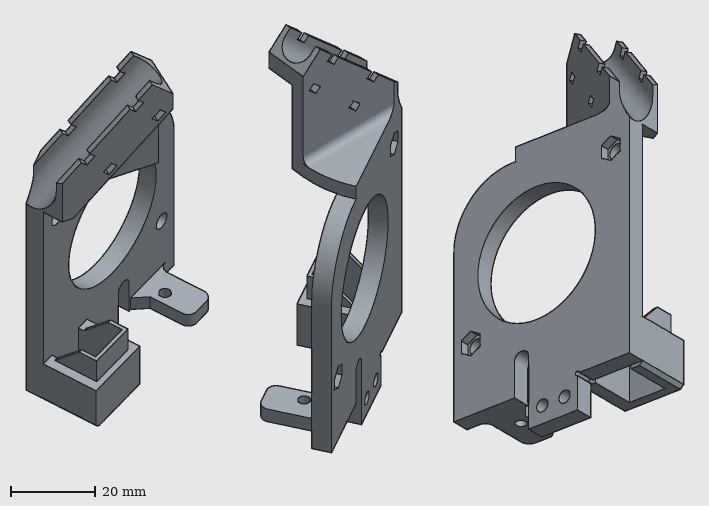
import cadquery as cq
import math

PLATE_THICKNESS = 5.0
PLATE_WIDTH = 54.0
PLATE_BOTTOM = 10.0
PLATE_TOP = 73.9
BORE_DIAMETER = 36.0
BORE_Y = 28.5
BORE_Z = 46.9
CORNER_RADIUS = BORE_DIAMETER / 2

NUT_CENTERS = [(5.8, 67.3), (48.8, 29.4)]
NUT_HOLE_DIAMETER = 4.4
NUT_FLATS = 5.8
NUT_POCKET_DEPTH = 2.4
NUT_TURN = 30.0

TONGUE_START = 15.9
TONGUE_END = 31.0
TONGUE_HOLE_DIAMETER = 3.4
TONGUE_HOLE_Z = 5.0
TONGUE_HOLES_Y = [19.9, 26.8]
SLOT_WIDTH = 4.3
SLOT_TOP = 21.9
RELIEF_DIAMETER = 1.2

BOX_BACK = 20.3
BOX_WIDTH = 18.0
BOX_BOTTOM = 9.0
BOX_TOP = 21.9
BOX_CHAMFER = 1.0
LIP_THICKNESS = 1.0
LIP_TOP = 29.0
BACK_LEDGE = 1.7
SIDE_LEDGE = 2.5
LIP_SLOPE_START = 6.5

LUG_START = 38.9
LUG_END = 47.9
LUG_THICKNESS = 4.0
LUG_TIP_RADIUS = 2.4
LUG_FILLET = 2.3
LUG_GUSSET_LENGTH = 3.5
LUG_GUSSET_WIDTH = 3.0
LUG_HOLE_DIAMETER = 3.0
LUG_HOLE_X = 10.7
LUG_HOLE_Y = 42.0

ARM_TURN = 30.0
ARM_PIVOT_Y = 6.1
ARM_LENGTH = 29.0
ARM_WIDTH = 12.2
ARM_DEPTH = 11.3
ARM_TOP = 110.6
ARM_END_DROP = 5.4
FOOT_WIDTH = 4.0
FAN_THICKNESS = 4.0
FAN_FILLET = 2.2

CHANNEL_RADIUS = 4.5
CHANNEL_DEPTH = 6.6
CHANNEL_CUT_LENGTH = 55.3
TIE_WIDTH = 3.0
TIE_THICKNESS = 2.0
TIE_HOLE_DEPTH = 9.2
TIE_DISTANCES = [6.7, 24.8]

OVERSHOOT = 11.1


def block(x0, x1, y0, y1, z0, z1):
    """Axis-aligned block between two opposite corners."""
    return cq.Workplane("XY").box(x1 - x0, y1 - y0, z1 - z0, centered=False).translate((x0, y0, z0))


def plate_cut(y, z, diameter):
    """Cylinder along X through the plate."""
    return cq.Workplane("YZ").center(y, z).circle(diameter / 2).extrude(PLATE_THICKNESS)


def make_plate():
    """Plate with its rounded corner, tongue, slot, bore and screw holes."""
    arc_y = PLATE_WIDTH - CORNER_RADIUS
    arc_z = PLATE_TOP - CORNER_RADIUS
    slot_end = TONGUE_END + SLOT_WIDTH
    slot_spring = SLOT_TOP - SLOT_WIDTH / 2
    diagonal = CORNER_RADIUS * math.sqrt(0.5)
    plate = (
        cq.Workplane("YZ")
        .moveTo(0, PLATE_TOP)
        .lineTo(arc_y, PLATE_TOP)
        .threePointArc((arc_y + diagonal, arc_z + diagonal), (PLATE_WIDTH, arc_z))
        .lineTo(PLATE_WIDTH, PLATE_BOTTOM)
        .lineTo(slot_end, PLATE_BOTTOM)
        .lineTo(slot_end, slot_spring)
        .threePointArc((TONGUE_END + SLOT_WIDTH / 2, SLOT_TOP), (TONGUE_END, slot_spring))
        .lineTo(TONGUE_END, 0)
        .lineTo(TONGUE_START, 0)
        .lineTo(TONGUE_START, PLATE_BOTTOM)
        .lineTo(0, PLATE_BOTTOM)
        .close()
        .extrude(PLATE_THICKNESS)
    )
    plate = plate.cut(plate_cut(BORE_Y, BORE_Z, BORE_DIAMETER))
    plate = plate.cut(plate_cut(TONGUE_START, PLATE_BOTTOM, RELIEF_DIAMETER))
    for y in TONGUE_HOLES_Y:
        plate = plate.cut(plate_cut(y, TONGUE_HOLE_Z, TONGUE_HOLE_DIAMETER))
    corner_diameter = NUT_FLATS / math.cos(math.pi / 6)
    for y, z in NUT_CENTERS:
        plate = plate.cut(plate_cut(y, z, NUT_HOLE_DIAMETER))
        pocket = cq.Workplane("YZ").polygon(6, corner_diameter).extrude(NUT_POCKET_DEPTH)
        pocket = pocket.rotate((0, 0, 0), (1, 0, 0), NUT_TURN).translate((0, y, z))
        plate = plate.cut(pocket)
    return plate


def make_box():
    """Box open at the top and bottom, with a lip that slopes down towards the plate."""
    lip_back = BOX_BACK - BACK_LEDGE
    lip_start = SIDE_LEDGE
    lip_end = BOX_WIDTH - SIDE_LEDGE
    front = PLATE_THICKNESS
    body = block(front, BOX_BACK, 0, BOX_WIDTH, BOX_BOTTOM, BOX_TOP)
    body = body.edges("<Y and <Z").chamfer(BOX_CHAMFER)
    lip_rise = LIP_TOP - BOX_TOP
    lip = (
        cq.Workplane("XZ")
        .polyline([
            (LIP_SLOPE_START, BOX_TOP),
            (LIP_SLOPE_START + lip_rise, LIP_TOP),
            (lip_back, LIP_TOP),
            (lip_back, BOX_TOP),
        ])
        .close()
        .extrude(lip_start - lip_end)
        .translate((0, lip_start, 0))
    )
    cavity = block(
        front, lip_back - LIP_THICKNESS,
        lip_start + LIP_THICKNESS, lip_end - LIP_THICKNESS,
        BOX_BOTTOM, LIP_TOP,
    )
    return body.union(lip).cut(cavity)


def make_lug():
    """Flat lug with a rounded tip, a fillet on one root and a gusset on the other."""
    root = PLATE_THICKNESS
    body = block(root, BOX_BACK, LUG_START, LUG_END, PLATE_BOTTOM, PLATE_BOTTOM + LUG_THICKNESS)
    body = body.edges("|Z and >X").fillet(LUG_TIP_RADIUS)
    diagonal = LUG_FILLET * (1 - math.sqrt(0.5))
    roots = (
        cq.Workplane("XY", origin=(0, 0, PLATE_BOTTOM))
        .moveTo(root, LUG_START - LUG_GUSSET_WIDTH)
        .lineTo(root + LUG_GUSSET_LENGTH, LUG_START)
        .lineTo(root + LUG_FILLET, LUG_END)
        .threePointArc((root + diagonal, LUG_END + diagonal), (root, LUG_END + LUG_FILLET))
        .close()
        .extrude(LUG_THICKNESS)
    )
    hole = (
        cq.Workplane("XY", origin=(LUG_HOLE_X, LUG_HOLE_Y, PLATE_BOTTOM))
        .circle(LUG_HOLE_DIAMETER / 2)
        .extrude(LUG_THICKNESS)
    )
    return body.union(roots).cut(hole)


def place_arm(shape):
    """Moves a shape from the arm's own frame (width along X, length along Y) to the pivot."""
    return shape.rotate((0, 0, 0), (0, 0, 1), -ARM_TURN).translate((0, ARM_PIVOT_Y, 0))


CREST_Y = ARM_LENGTH - ARM_END_DROP
END_TOP = ARM_TOP - ARM_END_DROP
END_BOTTOM = ARM_TOP + ARM_END_DROP - ARM_DEPTH * math.sqrt(2)
DOWN_SLOPE = (0, -1, -1)


def make_arm():
    """Inclined arm on a thin vertical foot, with a fillet along the foot."""
    overhang_start = ARM_LENGTH - (END_BOTTOM - PLATE_TOP)
    rims = [
        (-OVERSHOOT, ARM_TOP - CREST_Y - OVERSHOOT),
        (CREST_Y, ARM_TOP),
        (ARM_LENGTH, END_TOP),
    ]
    base_start = (-OVERSHOOT, PLATE_TOP)
    beam_outline = rims + [(ARM_LENGTH, END_BOTTOM), (overhang_start, PLATE_TOP), base_start]
    foot_outline = rims + [(ARM_LENGTH, PLATE_TOP), base_start]
    beam = cq.Workplane("YZ").polyline(beam_outline).close().extrude(ARM_WIDTH)
    foot = cq.Workplane("YZ").polyline(foot_outline).close().extrude(FOOT_WIDTH)
    fan_top = PLATE_TOP + FAN_THICKNESS
    diagonal = FAN_FILLET * (1 - math.sqrt(0.5))
    fillet = (
        cq.Workplane("XZ")
        .moveTo(0, fan_top)
        .lineTo(-FAN_FILLET, fan_top)
        .threePointArc((-diagonal, fan_top + diagonal), (0, fan_top + FAN_FILLET))
        .close()
        .extrude(-ARM_LENGTH)
    )
    return place_arm(beam.union(foot).union(fillet))


def make_fan():
    """Flat sector joining the plate's top edge to the arm."""
    turn = math.radians(ARM_TURN)

    def on_rim(angle):
        return (ARM_LENGTH * math.sin(angle), ARM_PIVOT_Y + ARM_LENGTH * math.cos(angle))

    return (
        cq.Workplane("XY", origin=(0, 0, PLATE_TOP))
        .moveTo(0, ARM_PIVOT_Y)
        .lineTo(*on_rim(0))
        .threePointArc(on_rim(turn / 2), on_rim(turn))
        .close()
        .extrude(FAN_THICKNESS)
    )


def make_channel():
    """Round-bottomed channel running down the slope between the rims."""
    crest_center = (ARM_WIDTH / 2, CREST_Y, ARM_TOP)
    top = cq.Plane(origin=crest_center, xDir=(1, 0, 0), normal=DOWN_SLOPE)
    channel = (
        cq.Workplane(top)
        .moveTo(-CHANNEL_RADIUS, OVERSHOOT)
        .lineTo(-CHANNEL_RADIUS, CHANNEL_RADIUS - CHANNEL_DEPTH)
        .threePointArc((0, -CHANNEL_DEPTH), (CHANNEL_RADIUS, CHANNEL_RADIUS - CHANNEL_DEPTH))
        .lineTo(CHANNEL_RADIUS, OVERSHOOT)
        .close()
        .extrude(CHANNEL_CUT_LENGTH)
    )
    return place_arm(channel)


def make_tie_openings():
    """Rim notches and rectangular holes across the arm, in pairs along the slope."""
    side = cq.Plane(origin=(0, CREST_Y, ARM_TOP), xDir=DOWN_SLOPE, normal=(1, 0, 0))
    notches = (
        cq.Workplane(side)
        .pushPoints([(distance, 0) for distance in TIE_DISTANCES])
        .rect(TIE_WIDTH, 2 * TIE_THICKNESS)
        .extrude(ARM_WIDTH)
    )
    holes = (
        cq.Workplane(side)
        .pushPoints([(distance, TIE_HOLE_DEPTH) for distance in TIE_DISTANCES])
        .rect(TIE_WIDTH, TIE_THICKNESS)
        .extrude(ARM_WIDTH)
    )
    return place_arm(notches.union(holes))


arm_space = block(0, PLATE_WIDTH, 0, PLATE_WIDTH, PLATE_TOP, ARM_TOP)
arm = make_arm().intersect(arm_space).cut(make_tie_openings())

result = make_plate().union(make_box()).union(make_lug()).union(make_fan()).union(arm)
result = result.cut(make_channel())